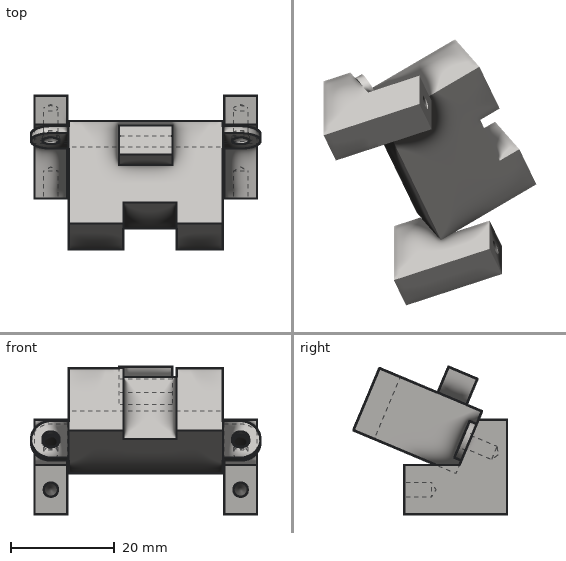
import cadquery as cq
import math

overall_width = 44.3
tilt_angle = 22.8

hole_spacing = 36.65
bracket_width = 6.4
bracket_depth = 19.9
bracket_height = 18.3
base_height = 9.57
slope_foot_depth = 9.2
screw_hole_diameter = 2.75
screw_hole_depth = 5.3
drill_point_angle = 118.0

block_width = 29.75
block_length = 21.5
block_height = 13.05
connector_width = 10.3
connector_length = 6.05
connector_height = 5.4
connector_setback = 3.25
notch_width = 10.3
notch_depth = 4.4
notch_offset = 0.85
ear_thickness = 1.45
ear_hole_diameter = 3.32

tilt = math.radians(tilt_angle)
slope_rise = bracket_height - base_height
slope_run = slope_rise * math.tan(tilt)
slope_plane = cq.Plane(
    origin=(0, slope_run / 2 - slope_foot_depth, base_height + slope_rise / 2),
    xDir=(1, 0, 0),
    normal=(0, -math.cos(tilt), math.sin(tilt)),
)
front_plane = cq.Plane(origin=(0, -bracket_depth, base_height / 2), xDir=(1, 0, 0), normal=(0, -1, 0))
ear_radius = (overall_width - hole_spacing) / 2


def make_screw_hole(plane, x):
    """Cutter for a blind drilled hole going inward from the plane at sideways position x."""
    radius = screw_hole_diameter / 2
    tip_depth = screw_hole_depth + radius / math.tan(math.radians(drill_point_angle / 2))
    half_section = (
        cq.Workplane("XY")
        .polyline([(0, 0), (radius, 0), (radius, -screw_hole_depth), (0, -tip_depth)])
        .close()
    )
    drill = half_section.revolve(360, (0, 0, 0), (0, 1, 0)).rotate((0, 0, 0), (1, 0, 0), 90)
    return cq.Workplane(drill.val().moved(cq.Location(plane)).translate(cq.Vector(x, 0, 0)))


def make_bracket(x):
    """L-shaped bracket with a sloped mounting face, centred at sideways position x."""
    profile = [
        (0, 0),
        (-bracket_depth, 0),
        (-bracket_depth, base_height),
        (-slope_foot_depth, base_height),
        (slope_run - slope_foot_depth, bracket_height),
        (0, bracket_height),
    ]
    bracket = (
        cq.Workplane("YZ", origin=(x - bracket_width / 2, 0, 0))
        .polyline(profile)
        .close()
        .extrude(bracket_width)
    )
    for plane in (front_plane, slope_plane):
        bracket = bracket.cut(make_screw_hole(plane, x))
    return bracket


def make_sensor():
    """Tilted sensor block with a notch, a connector and two mounting ears."""
    base = cq.Workplane(slope_plane)
    block = base.rect(block_width, block_height).extrude(block_length)
    notch = (
        base.workplane(offset=block_length - notch_depth)
        .center(notch_offset, 0)
        .rect(notch_width, block_height)
        .extrude(notch_depth)
    )
    connector = (
        base.workplane(offset=connector_setback)
        .center(0, (block_height + connector_height) / 2)
        .rect(connector_width, connector_height)
        .extrude(connector_length)
    )
    ears = base.slot2D(overall_width, 2 * ear_radius).extrude(ear_thickness)
    ear_holes = (
        base.pushPoints([(-hole_spacing / 2, 0), (hole_spacing / 2, 0)])
        .circle(ear_hole_diameter / 2)
        .extrude(ear_thickness)
    )
    return block.cut(notch).union(connector).union(ears).cut(ear_holes)


sensor = make_sensor()
brackets = [make_bracket(side * hole_spacing / 2) for side in (-1, 1)]

result = cq.Compound.makeCompound([sensor.solids().val(), *[bracket.solids().val() for bracket in brackets]])